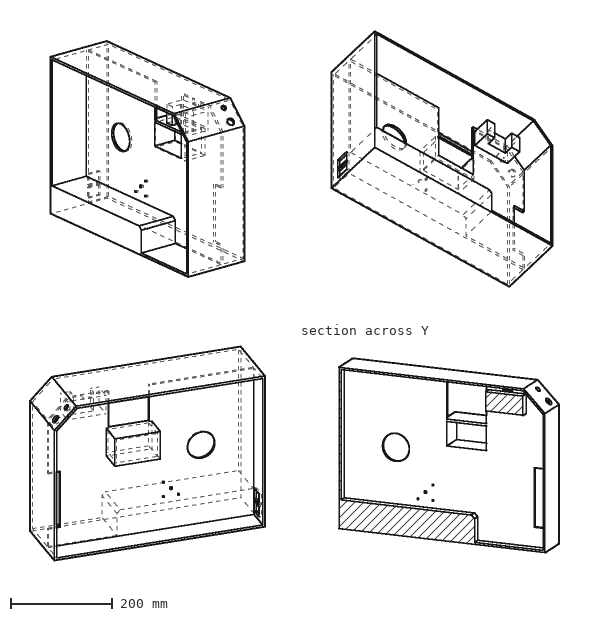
import cadquery as cq
import math

WIDTH = 440.0
DEPTH = 140.0
HEIGHT = 330.0
WALL = 5.0
CORNER_CUT = 45.5

BAY_DEPTH = 85.0
PANEL_BACK = BAY_DEPTH + WALL
REAR_BAY_DEPTH = DEPTH - PANEL_BACK

STEP_WIDTH = 290.0
STEP_HEIGHT = 60.0
STEP_CHAMFER = 7.0

OPENING_LEFT = 223.5
OPENING_WIDTH = 85.0
OPENING_BOTTOM = 245.0
RECESS_HEIGHT = 50.0
RECESS_TOP = OPENING_BOTTOM - WALL
RECESS_BOTTOM = RECESS_TOP - RECESS_HEIGHT

SLOT_WIDTH = 25.0
SLOT_BOTTOM = 45.0
SLOT_HEIGHT = 121.0

PORT_X = 115.0
PORT_Z = 175.0
PORT_DIAMETER = 57.0
SHAFT_X = 178.0
SHAFT_Z = 91.0
SHAFT_DIAMETER = 5.0
SCREW_OFFSET = 15.8
SCREW_DIAMETER = 3.0
SCREW_CORNERS = [(-1, -1), (1, -1), (1, 1)]

BRACKET_LEFT = 313.0
BRACKET_WIDTH = 80.0
BRACKET_BOTTOM = 275.0
BRACKET_HEIGHT = 40.0
BRACKET_REACH = 40.0
BRACKET_BASE = 20.0
LEFT_ARM = 18.0
RIGHT_ARM = 20.0

NOTCH_LEFT = 343.0
NOTCH_WIDTH = 20.0
NOTCH_BOTTOM = 317.0

WINDOW_FRONT = 91.0
WINDOW_WIDTH = 28.0
WINDOW_SPANS = [(13.0, 22.0), (40.0, 23.0)]

CORNER_HOLE_Y = PANEL_BACK + REAR_BAY_DEPTH / 2
CORNER_HOLES = [(406.0, 10.0), (428.5, 15.0)]


def block(x, y, z, width, depth, height):
    """Box placed by its left, front, bottom corner."""
    return cq.Workplane("XY").box(width, depth, height, centered=False).translate((x, y, z))


def case_prism(inset, front, depth):
    """Case outline moved inward by inset, extruded along +Y from front."""
    right = WIDTH - inset
    top = HEIGHT - inset
    cut = CORNER_CUT - inset * (2 - math.sqrt(2))
    return (
        cq.Workplane("XZ", origin=(0, front, 0))
        .moveTo(inset, inset)
        .lineTo(right, inset)
        .lineTo(right, top - cut)
        .lineTo(right - cut, top)
        .lineTo(inset, top)
        .close()
        .extrude(-depth)
    )


def panel_hole(x, z, diameter):
    """Round cutter through the panel."""
    return cq.Workplane("XZ", origin=(x, BAY_DEPTH, z)).circle(diameter / 2).extrude(-WALL)


def make_step():
    step = block(0, 0, 0, STEP_WIDTH, BAY_DEPTH, STEP_HEIGHT)
    return step.edges("|Y and >X and >Z").chamfer(STEP_CHAMFER)


def make_shell():
    front_bay = case_prism(WALL, 0, BAY_DEPTH)
    rear_bay = case_prism(WALL, PANEL_BACK, REAR_BAY_DEPTH)
    return case_prism(0, 0, DEPTH).cut(front_bay).cut(rear_bay).union(make_step())


def add_recess(body):
    """Closed box behind the panel, open to the front bay."""
    housing = block(
        OPENING_LEFT - WALL, BAY_DEPTH, RECESS_BOTTOM - WALL,
        OPENING_WIDTH + 2 * WALL, DEPTH - BAY_DEPTH, RECESS_HEIGHT + 2 * WALL,
    )
    hollow = block(
        OPENING_LEFT, BAY_DEPTH, RECESS_BOTTOM,
        OPENING_WIDTH, DEPTH - BAY_DEPTH - WALL, RECESS_HEIGHT,
    )
    return body.union(housing).cut(hollow)


def add_bracket(body):
    front = BAY_DEPTH - BRACKET_REACH
    bracket = block(BRACKET_LEFT, front, BRACKET_BOTTOM, BRACKET_WIDTH, BRACKET_REACH, BRACKET_HEIGHT)
    gap = block(
        BRACKET_LEFT + LEFT_ARM, front, BRACKET_BOTTOM,
        BRACKET_WIDTH - LEFT_ARM - RIGHT_ARM, BRACKET_REACH - BRACKET_BASE, BRACKET_HEIGHT,
    )
    return body.union(bracket.cut(gap))


def cut_panel(body):
    inner_top = HEIGHT - WALL
    slot_left = WIDTH - WALL - SLOT_WIDTH
    body = body.cut(
        block(OPENING_LEFT, BAY_DEPTH, OPENING_BOTTOM, OPENING_WIDTH, WALL, inner_top - OPENING_BOTTOM)
    )
    body = body.cut(block(NOTCH_LEFT, BAY_DEPTH, NOTCH_BOTTOM, NOTCH_WIDTH, WALL, inner_top - NOTCH_BOTTOM))
    body = body.cut(block(slot_left, BAY_DEPTH, SLOT_BOTTOM, SLOT_WIDTH, WALL, SLOT_HEIGHT))
    body = body.cut(panel_hole(PORT_X, PORT_Z, PORT_DIAMETER))
    body = body.cut(panel_hole(SHAFT_X, SHAFT_Z, SHAFT_DIAMETER))
    for x_side, z_side in SCREW_CORNERS:
        screw_x = SHAFT_X + x_side * SCREW_OFFSET
        screw_z = SHAFT_Z + z_side * SCREW_OFFSET
        body = body.cut(panel_hole(screw_x, screw_z, SCREW_DIAMETER))
    return body


def cut_windows(body):
    for bottom, height in WINDOW_SPANS:
        body = body.cut(block(0, WINDOW_FRONT, bottom, WALL, WINDOW_WIDTH, height))
    return body


def cut_corner_holes(body):
    for x, diameter in CORNER_HOLES:
        z = HEIGHT + (WIDTH - CORNER_CUT) - x
        center = cq.Vector(x, CORNER_HOLE_Y, z)
        inward = cq.Vector(-1, 0, -1)
        drill = cq.Solid.makeCylinder(diameter / 2, 2 * WALL, center, inward)
        body = body.cut(cq.Workplane(drill))
    return body


result = make_shell()
result = add_recess(result)
result = add_bracket(result)
result = cut_panel(result)
result = cut_windows(result)
result = cut_corner_holes(result)